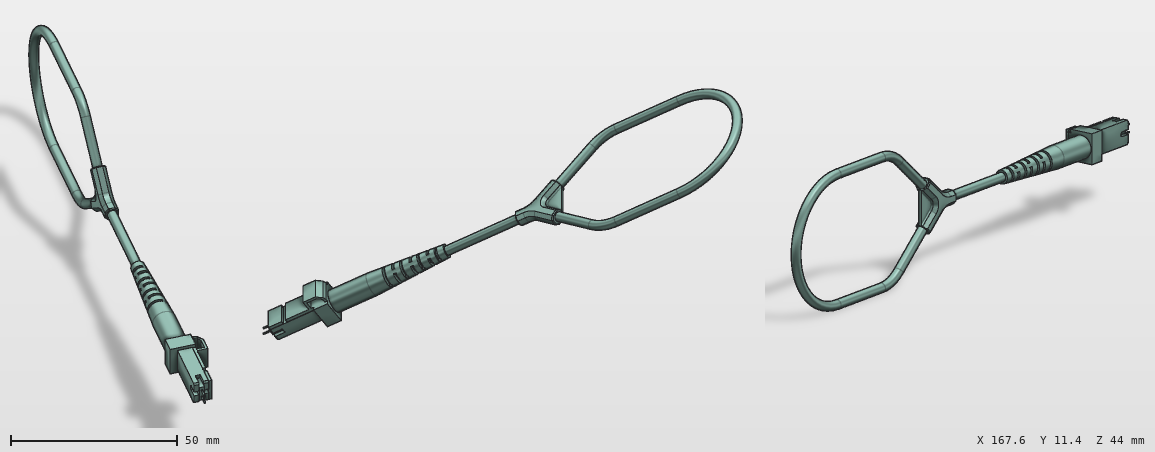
import cadquery as cq
import math


tube_radius = 1.5
loop_radius = 20.5
shoulder_x = 22.0
shoulder_radius = 13.0
leg_angle = 41.0
leg_length = 19.8
cable_start_x = 52.8

clip_half = 2.2
clip_chamfer = 1.2
clip_end_x = 56.5
arm_shift_x = 0.5
arm_length = 11.0
end_chamfer = 0.3
outer_blend = 5.0
inner_blend = 2.3
web_half = 0.5
web_blend = 0.5
edge_reach = 0.08

boot_start_x = 81.6
taper_end_x = 107.8
boot_small_radius = 2.2
boot_radius = 3.7
boot_twist = -35.0
slot_count = 7
slot_first_x = 84.3
slot_pair_pitch = 5.9
slot_pair_gap = 2.7
slot_width = 0.8
bridge_width = 1.3

collar_start_x = 121.2
collar_end_x = 126.0
collar_half_y = 4.0
collar_half_z = 4.9
nose_end_x = 142.3
nose_y = 0.7
nose_half_y = 2.3
nose_half_z = 3.9
nose_chamfer = 0.5
notch_length = 3.7
notch_width = 1.5
ferrule_end_x = 142.8
ferrule_half_y = 0.8
ferrule_half_z = 2.5
overall_length = 167.6
overall_depth = 11.4
pin_end_x = overall_length - loop_radius - tube_radius
pin_radius = 0.25
pin_offset_z = 1.25
rail_end_x = 142.0
rail_gap_start_x = 136.0
rail_gap_width = 1.3
latch_half_z = 3.7
latch_thickness = 0.8
latch_top_y = overall_depth - collar_half_y
latch_front_x = 127.7
latch_bend_x = 123.4
latch_bend_angle = 45.0
latch_mid_x = 121.5
latch_mid_y = 5.9
latch_tail_y = 4.9

leg_cos = math.cos(math.radians(leg_angle))
leg_sin = math.sin(math.radians(leg_angle))
leg_start_x = shoulder_x + shoulder_radius * leg_sin
leg_start_z = loop_radius - shoulder_radius * (1 - leg_cos)
leg_end_x = leg_start_x + leg_length * leg_cos
leg_end_z = leg_start_z - leg_length * leg_sin
meet_x = leg_start_x + leg_start_z * leg_cos / leg_sin


def box(x_range, y_range, z_range):
    """A block that spans the given (low, high) ranges."""
    size = [high - low for low, high in (x_range, y_range, z_range)]
    low_corner = (x_range[0], y_range[0], z_range[0])
    return cq.Workplane("XY").box(*size, centered=False).translate(low_corner)


def rod(start_x, end_x, radius, y=0, z=0):
    """A round rod along X."""
    return cq.Workplane("YZ", origin=(start_x, y, z)).circle(radius).extrude(end_x - start_x)


def make_loop():
    half_angle = math.radians(leg_angle / 2)
    bend_mid_x = shoulder_x + shoulder_radius * math.sin(half_angle)
    bend_mid_z = loop_radius - shoulder_radius * (1 - math.cos(half_angle))
    path = (
        cq.Workplane("XZ")
        .moveTo(leg_end_x, leg_end_z)
        .lineTo(leg_start_x, leg_start_z)
        .threePointArc((bend_mid_x, bend_mid_z), (shoulder_x, loop_radius))
        .lineTo(0, loop_radius)
        .threePointArc((-loop_radius, 0), (0, -loop_radius))
        .lineTo(shoulder_x, -loop_radius)
        .threePointArc((bend_mid_x, -bend_mid_z), (leg_start_x, -leg_start_z))
        .lineTo(leg_end_x, -leg_end_z)
    )
    end_plane = cq.Plane((leg_end_x, 0, leg_end_z), (0, 1, 0), (-leg_cos, 0, leg_sin))
    return cq.Workplane(end_plane).circle(tube_radius).sweep(path)


def make_cable():
    return rod(cable_start_x, taper_end_x, tube_radius)


def arm_point(along, across):
    """A point (x, z) on the upper arm, from the meeting point outwards; across is positive outside."""
    x = meet_x + arm_shift_x - along * leg_cos + across * leg_sin
    z = along * leg_sin + across * leg_cos
    return x, z


def near(point):
    """Picks out an edge along Y at the point (x, z)."""
    x, z = point
    low = (x - edge_reach, -edge_reach, z - edge_reach)
    high = (x + edge_reach, edge_reach, z + edge_reach)
    return cq.selectors.BoxSelector(low, high)


def mirror(points):
    """The (x, z) points reflected across the X axis, in reverse order so that an outline can go on."""
    return [(x, -z) for x, z in reversed(points)]


def make_pocket():
    """The space between the arms on the +Y side of the web: flared at its rim, rounded along its floor."""
    tip = arm_point(clip_half * leg_cos / leg_sin, -clip_half)
    mouth = arm_point(arm_length + clip_half, -clip_half)
    wedge_outline = [mouth, tip, (mouth[0], -mouth[1])]
    flare_y = clip_half - clip_chamfer
    wedge = cq.Workplane("XZ").polyline(wedge_outline).close().extrude(-clip_half)
    wedge = wedge.edges(">X").fillet(inner_blend)
    rim = wedge.faces("<Y").wires().val()
    flare = (
        cq.Workplane("XZ")
        .add(rim)
        .toPending()
        .extrude(-clip_chamfer, taper=-45)
        .translate((0, flare_y, 0))
    )
    cavity = wedge.intersect(
        box((0, clip_end_x), (web_half, clip_half), (-loop_radius, loop_radius))
    )
    floor_edges = cavity.faces("<Y").edges("not |Z")
    return floor_edges.fillet(web_blend).union(flare)


def make_clip():
    outer_corner = arm_point(clip_half * (1 - leg_cos) / leg_sin, clip_half)
    arm_end_outer = arm_point(arm_length, clip_half)
    arm_end_inner = arm_point(arm_length, -clip_half)
    upper = [(clip_end_x, clip_half), outer_corner, arm_end_outer, arm_end_inner]
    clip = cq.Workplane("XZ").polyline(upper + mirror(upper)).close().extrude(clip_half, both=True)
    for corner in (outer_corner, *mirror([outer_corner])):
        clip = clip.edges(near(corner)).fillet(outer_blend)

    flats = clip.faces("|Y").edges().filter(lambda edge: abs(edge.Length() - 2 * clip_half) > edge_reach)
    clip = flats.edges("not <X").chamfer(clip_chamfer)
    arm_end = arm_point(arm_length, 0)
    for x, z in ((clip_end_x, 0), arm_end, *mirror([arm_end])):
        end_face = clip.faces(cq.selectors.NearestToPointSelector((x, 0, z)))
        inner_edge = near((arm_end_inner[0], math.copysign(arm_end_inner[1], z)))
        clip = end_face.edges(-inner_edge).chamfer(end_chamfer)

    pocket = make_pocket()
    clip = clip.cut(pocket).cut(pocket.mirror("XZ"))
    return clip.cut(make_loop()).cut(make_cable())


def make_boot():
    profile = [
        (boot_start_x, 0),
        (boot_start_x, boot_small_radius),
        (taper_end_x, boot_radius),
        (collar_start_x, boot_radius),
        (collar_start_x, 0),
    ]
    boot = cq.Workplane("XY").polyline(profile).close().revolve(360, (0, 0, 0), (1, 0, 0))
    boot = boot.cut(make_cable())
    for index in range(slot_count):
        slot_x = slot_first_x + index // 2 * slot_pair_pitch + index % 2 * slot_pair_gap
        slot = rod(slot_x - slot_width / 2, slot_x + slot_width / 2, 2 * boot_radius)
        bridge = cq.Workplane("XY").box(slot_width, bridge_width, 4 * boot_radius)
        slot = slot.cut(bridge.translate((slot_x, 0, 0)))
        boot = boot.cut(slot.rotate((0, 0, 0), (1, 0, 0), 90 * (index % 2)))
    return boot.rotate((0, 0, 0), (1, 0, 0), boot_twist)


def make_notches():
    """Open slots across the nose tip: round-ended along Y, square-ended along Z."""
    notch_x = nose_end_x - notch_length
    half_width = notch_width / 2
    round_x = notch_x + half_width
    side = box((round_x, nose_end_x), (-collar_half_y, collar_half_y), (-half_width, half_width))
    side_end = cq.Workplane("XZ").center(round_x, 0).circle(half_width).extrude(collar_half_y, both=True)
    upright = box(
        (notch_x, nose_end_x),
        (nose_y - half_width, nose_y + half_width),
        (-nose_half_z, nose_half_z),
    )
    return side.union(side_end).union(upright)


def make_nose():
    """The rectangular nose with its notched tip and the ferrule inside it."""
    back_y = nose_y + nose_half_y
    nose = box(
        (collar_end_x, nose_end_x), (nose_y - nose_half_y, back_y), (-nose_half_z, nose_half_z)
    )
    nose = nose.edges(">X and |Y").chamfer(nose_chamfer)
    nose = nose.cut(make_notches())
    ferrule = box(
        (collar_end_x, ferrule_end_x),
        (nose_y - ferrule_half_y, nose_y + ferrule_half_y),
        (-ferrule_half_z, ferrule_half_z),
    )
    return nose.union(ferrule)


def make_latch():
    """The bent strip over the collar and the rail that carries it along the back of the nose."""
    rail_y = nose_y + nose_half_y
    gap_end_x = rail_gap_start_x + rail_gap_width
    rail = box((collar_end_x, rail_gap_start_x), (rail_y, collar_half_y), (-latch_half_z, latch_half_z))
    stop = box((gap_end_x, rail_end_x), (rail_y, collar_half_y), (-latch_half_z, latch_half_z))
    leg_x = latch_front_x - latch_thickness
    inner_y = latch_top_y - latch_thickness
    inner_bend_x = latch_bend_x + latch_thickness * math.tan(math.radians(latch_bend_angle / 2))
    tail_x = collar_start_x + latch_thickness
    strip = (
        cq.Workplane("XY")
        .polyline(
            [
                (latch_front_x, rail_y),
                (latch_front_x, latch_top_y),
                (latch_bend_x, latch_top_y),
                (latch_mid_x, latch_mid_y),
                (collar_start_x, latch_tail_y),
                (collar_start_x, collar_half_y),
                (tail_x, collar_half_y),
                (tail_x, latch_tail_y),
                (latch_mid_x + latch_thickness, latch_mid_y),
                (inner_bend_x, inner_y),
                (leg_x, inner_y),
                (leg_x, rail_y),
            ]
        )
        .close()
        .extrude(latch_half_z, both=True)
    )
    return rail.union(stop).union(strip)


def make_connector():
    connector = box(
        (collar_start_x, collar_end_x), (-collar_half_y, collar_half_y), (-collar_half_z, collar_half_z)
    )
    connector = connector.union(make_nose()).union(make_latch())
    for side in (-1, 1):
        pin = rod(collar_end_x, pin_end_x, pin_radius, nose_y, side * pin_offset_z)
        connector = connector.union(pin)
    return connector


loop = make_loop()
cable = make_cable()
clip = make_clip()
boot = make_boot()
connector = make_connector()
result = cq.Compound.makeCompound([loop.val(), cable.val(), clip.val(), boot.val(), connector.val()])